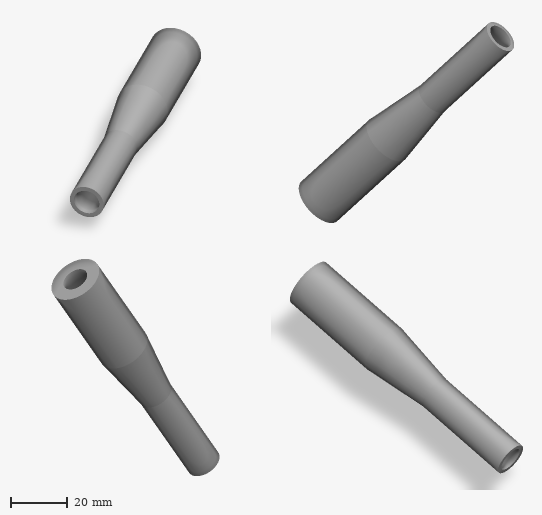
import cadquery as cq

total_length = 101.6
large_diameter = 19.1
small_diameter = 12.7
bore_diameter = 9.4
end_length = 38.1

small_radius = small_diameter / 2
large_radius = large_diameter / 2
bore_radius = bore_diameter / 2
small_end_y = -total_length / 2
large_end_y = total_length / 2
taper_start_y = small_end_y + end_length
taper_end_y = large_end_y - end_length

wall_section = (
    cq.Workplane("XY")
    .moveTo(bore_radius, small_end_y)
    .lineTo(small_radius, small_end_y)
    .lineTo(small_radius, taper_start_y)
    .lineTo(large_radius, taper_end_y)
    .lineTo(large_radius, large_end_y)
    .lineTo(bore_radius, large_end_y)
    .close()
)

result = wall_section.revolve(360, (0, 0, 0), (0, 1, 0))